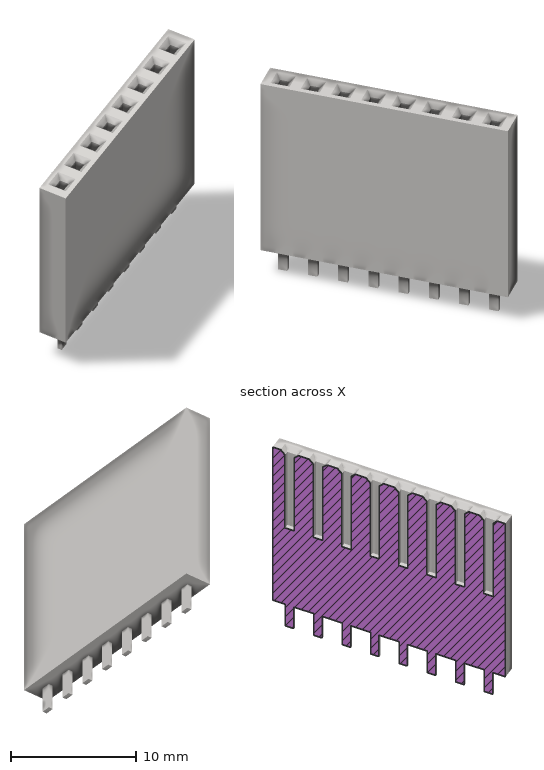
import cadquery as cq

housing_thickness = 2.42
housing_length = 20.83
total_height = 18.41
pin_length = 2.27
housing_height = total_height - pin_length

contact_count = 8
contact_pitch = 2.55

pin_thickness = 0.4
pin_width = 0.8

socket_mouth = 1.6
socket_bore = 0.8
funnel_depth = (socket_mouth - socket_bore) / 2
socket_depth = housing_height / 2

contact_positions = [
    (0, (index - (contact_count - 1) / 2) * contact_pitch)
    for index in range(contact_count)
]


def make_housing():
    """Block standing on Z = 0."""
    return cq.Workplane("XY").box(
        housing_thickness, housing_length, housing_height, centered=(True, True, False)
    )


def make_pins():
    """Row of flat pins hanging below Z = 0."""
    return (
        cq.Workplane("XY")
        .pushPoints(contact_positions)
        .rect(pin_thickness, pin_width)
        .extrude(-pin_length)
    )


def make_socket(x, y):
    """Cutter for one socket: tapered lead-in at the top face, then the bore."""
    top = cq.Workplane("XY", origin=(x, y, housing_height))
    funnel = (
        top.rect(socket_mouth, socket_mouth)
        .workplane(offset=-funnel_depth)
        .rect(socket_bore, socket_bore)
        .loft(ruled=True)
    )
    bore = top.rect(socket_bore, socket_bore).extrude(-socket_depth)
    return funnel.union(bore)


result = make_housing().union(make_pins())
for x, y in contact_positions:
    result = result.cut(make_socket(x, y))